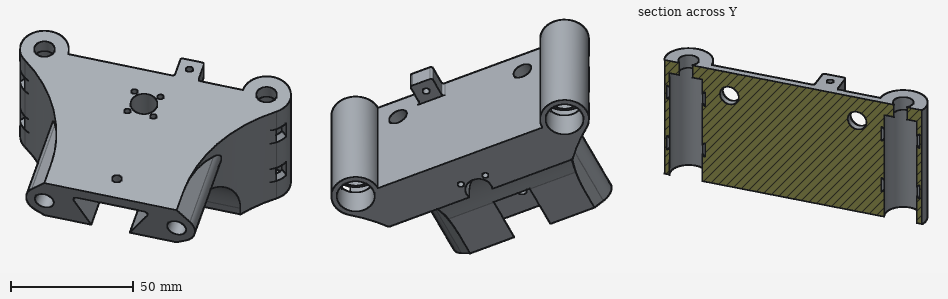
import cadquery as cq
import math


height = 54.0
front_y = -70.0
plate_thickness = 20.0
wall_front_y = -20.0
underside_radius = 30.0
plate_half_width = 28.0
flank_straight_y = -60.0
plate_underside_z = height - plate_thickness
underside_end_y = wall_front_y - underside_radius

lug_x = 47.0
lug_radius = 10.0
lug_hole_diameter = 8.4
bearing_diameter = 15.5
lug_cap_thickness = 6.0

sleeve_x = plate_half_width
sleeve_radius = 7.75
sleeve_z = 43.0
sleeve_hole_diameter = 8.0

window_outer_height = 8.2
window_inner_height = 4.6
window_end_y = -3.5
window_levels = (15.0, 39.0)

bore_y = -18.0
bore_diameter = 11.0
screw_spacing = 11.0
screw_diameter = 2.6
pin_y = -60.0
pin_diameter = 4.0

dovetail_roof = 5.0
dovetail_mouth_half_width = 8.1
dovetail_angle = 60.0
dovetail_corner_radius = 1.5
dovetail_end_y = underside_end_y

tab_x = 13.0
tab_width = 10.0
tab_length = 10.0
tab_thickness = 8.0
tab_corner_radius = 1.0
tab_root_radius = 1.0
tab_hole_diameter = 2.9


def vertical_hole(x, y, diameter):
    return cq.Workplane("XY").center(x, y).circle(diameter / 2).extrude(height)


def body():
    lug_offset = lug_x - plate_half_width
    flank_radius = (lug_offset**2 + flank_straight_y**2 - lug_radius**2) / (2 * (lug_offset + lug_radius))
    flank_centre_x = plate_half_width + flank_radius
    angle_to_lug = math.atan2(-flank_straight_y, lug_x - flank_centre_x)
    angle_to_middle = (angle_to_lug + math.pi) / 2

    def flank_point(angle):
        return (
            flank_centre_x + flank_radius * math.cos(angle),
            flank_straight_y + flank_radius * math.sin(angle),
        )

    tangent_x, tangent_y = flank_point(angle_to_lug)
    middle_x, middle_y = flank_point(angle_to_middle)
    block = (
        cq.Workplane("XY")
        .moveTo(-lug_x, 0)
        .lineTo(lug_x, 0)
        .lineTo(tangent_x, tangent_y)
        .threePointArc((middle_x, middle_y), (plate_half_width, flank_straight_y))
        .lineTo(plate_half_width, front_y)
        .lineTo(-plate_half_width, front_y)
        .lineTo(-plate_half_width, flank_straight_y)
        .threePointArc((-middle_x, middle_y), (-tangent_x, tangent_y))
        .close()
        .extrude(height)
    )
    for side in (-1, 1):
        block = block.union(vertical_hole(side * lug_x, 0, 2 * lug_radius))
    return block


def sleeve(side):
    above = height - sleeve_z
    below = sleeve_z - plate_underside_z
    upper_angle = math.acos(sleeve_radius / above)
    lower_angle = math.acos(sleeve_radius / below)
    outer_x = sleeve_x + sleeve_radius
    profile = (
        cq.Workplane("XZ")
        .moveTo(sleeve_x, height)
        .lineTo(
            sleeve_x + sleeve_radius * math.sin(upper_angle),
            sleeve_z + sleeve_radius * math.cos(upper_angle),
        )
        .threePointArc(
            (outer_x, sleeve_z),
            (
                sleeve_x + sleeve_radius * math.sin(lower_angle),
                sleeve_z - sleeve_radius * math.cos(lower_angle),
            ),
        )
        .lineTo(sleeve_x, plate_underside_z)
        .close()
        .extrude(-front_y)
    )
    return profile if side > 0 else profile.mirror("YZ")


def underside_cut():
    arc_start_z = plate_underside_z - underside_radius
    diagonal = underside_radius * math.sqrt(0.5)
    width = 4 * lug_x
    return (
        cq.Workplane("YZ", origin=(-width / 2, 0, 0))
        .moveTo(wall_front_y, 0)
        .lineTo(wall_front_y, arc_start_z)
        .threePointArc(
            (underside_end_y + diagonal, arc_start_z + diagonal),
            (underside_end_y, plate_underside_z),
        )
        .lineTo(front_y, plate_underside_z)
        .lineTo(front_y, 0)
        .close()
        .extrude(width)
    )


def sleeve_hole(side):
    return (
        cq.Workplane("XZ")
        .center(side * sleeve_x, sleeve_z)
        .circle(sleeve_hole_diameter / 2)
        .extrude(-front_y)
    )


def bearing_bore(side):
    return (
        cq.Workplane("XY")
        .center(side * lug_x, 0)
        .circle(bearing_diameter / 2)
        .extrude(height - lug_cap_thickness)
    )


def tie_window(side, level):
    bore_radius = bearing_diameter / 2
    start_angle = math.degrees(math.asin(window_end_y / lug_radius))
    sweep = 180 + 2 * start_angle
    return (
        cq.Workplane("XZ")
        .moveTo(bore_radius, -window_inner_height / 2)
        .lineTo(lug_radius, -window_outer_height / 2)
        .lineTo(lug_radius, window_outer_height / 2)
        .lineTo(bore_radius, window_inner_height / 2)
        .close()
        .revolve(sweep, (0, 1, 0), (0, 0, 0))
        .rotate((0, 0, 0), (0, 0, 1), start_angle)
        .translate((side * lug_x, 0, level))
    )


def dovetail_slot():
    roof_z = height - dovetail_roof
    depth = roof_z - plate_underside_z
    roof_half_width = dovetail_mouth_half_width + depth / math.tan(math.radians(dovetail_angle))
    return (
        cq.Workplane("XZ", origin=(0, dovetail_end_y, 0))
        .moveTo(-dovetail_mouth_half_width, plate_underside_z)
        .lineTo(dovetail_mouth_half_width, plate_underside_z)
        .lineTo(roof_half_width, roof_z)
        .lineTo(-roof_half_width, roof_z)
        .close()
        .extrude(dovetail_end_y - front_y)
        .edges("|Y and >Z")
        .fillet(dovetail_corner_radius)
    )


def tab():
    return (
        cq.Workplane("XY")
        .box(tab_width, tab_length, tab_thickness)
        .edges("|Z and >Y")
        .fillet(tab_corner_radius)
        .translate((tab_x, tab_length / 2, height - tab_thickness / 2))
    )


result = body()
for side in (-1, 1):
    result = result.union(sleeve(side))
result = result.cut(underside_cut()).union(tab())
for side in (-1, 1):
    root = (tab_x + side * tab_width / 2, 0, height - tab_thickness / 2)
    result = result.edges(cq.selectors.NearestToPointSelector(root)).fillet(tab_root_radius)

for side in (-1, 1):
    result = result.cut(vertical_hole(side * lug_x, 0, lug_hole_diameter))
    result = result.cut(sleeve_hole(side))
    result = result.cut(bearing_bore(side))
    for level in window_levels:
        result = result.cut(tie_window(side, level))

result = result.cut(dovetail_slot())
result = result.cut(vertical_hole(0, bore_y, bore_diameter))
for side in (-1, 1):
    for end in (-1, 1):
        screw_x = side * screw_spacing / 2
        screw_y = bore_y + end * screw_spacing / 2
        result = result.cut(vertical_hole(screw_x, screw_y, screw_diameter))
result = result.cut(vertical_hole(0, pin_y, pin_diameter))
result = result.cut(vertical_hole(tab_x, tab_length / 2, tab_hole_diameter))